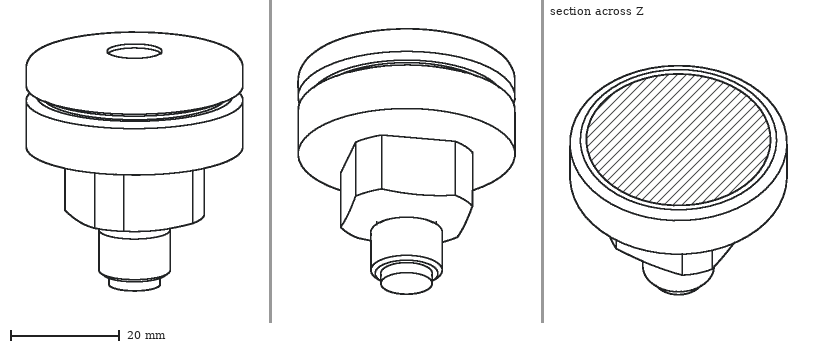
import cadquery as cq
import math

total_height = 44.5
head_diameter = 40.0
face_diameter = 27.0
head_height = 20.0
bevel_angle = math.radians(15)
cap_fillet = 2.0
groove_diameter = 34.0
groove_top_depth = 7.5
groove_width = 1.0
groove_lip_height = 0.9
groove_lip_width = 1.9
recess_diameter = 10.1
recess_depth = 0.75

square_width = 22.0
square_corner_diameter = 26.0
square_bottom = 13.05

neck_diameter = 11.0
neck_fillet = 0.5
stud_diameter = 13.15
stud_top = 10.4
stud_bottom = 2.05
stud_shoulder_angle = math.radians(30)
stud_chamfer_height = 0.62
stud_chamfer_width = 0.8
tip_diameter = 9.5

head_radius = head_diameter / 2
face_radius = face_diameter / 2
bevel_height = (head_radius - face_radius) * math.tan(bevel_angle)
head_bottom = total_height - head_height


def revolve_profile(points):
    """Revolve a closed outline of (radius, height) points about Z."""
    return cq.Workplane("XZ").polyline(points).close().revolve(360, (0, 0, 0), (0, 1, 0))


def make_cap():
    bottom = total_height - groove_top_depth
    cap = revolve_profile([
        (0, bottom),
        (head_radius - groove_lip_width, bottom),
        (head_radius, bottom + groove_lip_height),
        (head_radius, total_height - bevel_height),
        (face_radius, total_height),
        (0, total_height),
    ])
    outer_circles = cap.edges("%CIRCLE").edges(cq.selectors.RadiusNthSelector(-1))
    cap = cap.newObject(outer_circles.edges(">Z").vals()).fillet(cap_fillet)
    recess = (
        cq.Workplane("XY", origin=(0, 0, total_height - recess_depth))
        .circle(recess_diameter / 2)
        .extrude(recess_depth)
    )
    return cap.cut(recess)


def make_lower_disc():
    top = total_height - groove_top_depth - groove_width
    return revolve_profile([
        (0, head_bottom),
        (face_radius, head_bottom),
        (head_radius, head_bottom + bevel_height),
        (head_radius, top - groove_lip_height),
        (head_radius - groove_lip_width, top),
        (0, top),
    ])


def make_groove_core():
    bottom = total_height - groove_top_depth - groove_width
    return (
        cq.Workplane("XY", origin=(0, 0, bottom))
        .circle(groove_diameter / 2)
        .extrude(groove_width)
    )


def make_square_shank():
    """Square bar trimmed by a cylinder whose bottom rim is bevelled to the flats."""
    height = head_bottom - square_bottom
    flat_radius = square_width / 2
    corner_radius = square_corner_diameter / 2
    corner_bevel = (corner_radius - flat_radius) * math.tan(bevel_angle)
    bar = cq.Workplane("XY", origin=(0, 0, square_bottom)).rect(square_width, square_width).extrude(height)
    envelope = revolve_profile([
        (0, square_bottom),
        (flat_radius, square_bottom),
        (corner_radius, square_bottom + corner_bevel),
        (corner_radius, head_bottom),
        (0, head_bottom),
    ])
    return bar.intersect(envelope)


def make_stud():
    """Relieved stud: filleted neck, sloped shoulder, chamfered body and plain tip."""
    neck_radius = neck_diameter / 2
    stud_radius = stud_diameter / 2
    tip_radius = tip_diameter / 2
    arc_center_radius = neck_radius + neck_fillet

    turn = math.pi / 2 - stud_shoulder_angle
    shoulder_radius = arc_center_radius - neck_fillet * math.cos(turn)
    shoulder_height = stud_top + (stud_radius - shoulder_radius) * math.tan(stud_shoulder_angle)
    lower_arc_height = shoulder_height + neck_fillet * math.sin(turn)
    lower_arc_middle = (
        arc_center_radius - neck_fillet * math.cos(turn / 2),
        lower_arc_height - neck_fillet * math.sin(turn / 2),
    )
    upper_arc_height = square_bottom - neck_fillet
    upper_arc_middle = (
        arc_center_radius - neck_fillet * math.cos(math.pi / 4),
        upper_arc_height + neck_fillet * math.sin(math.pi / 4),
    )
    return (
        cq.Workplane("XZ")
        .lineTo(tip_radius, 0)
        .lineTo(tip_radius, stud_bottom)
        .lineTo(stud_radius - stud_chamfer_width, stud_bottom)
        .lineTo(stud_radius, stud_bottom + stud_chamfer_height)
        .lineTo(stud_radius, stud_top)
        .lineTo(shoulder_radius, shoulder_height)
        .threePointArc(lower_arc_middle, (neck_radius, lower_arc_height))
        .lineTo(neck_radius, upper_arc_height)
        .threePointArc(upper_arc_middle, (arc_center_radius, square_bottom))
        .lineTo(0, square_bottom)
        .close()
        .revolve(360, (0, 0, 0), (0, 1, 0))
    )


result = (
    make_lower_disc()
    .union(make_groove_core())
    .union(make_cap())
    .union(make_square_shank())
    .union(make_stud())
)